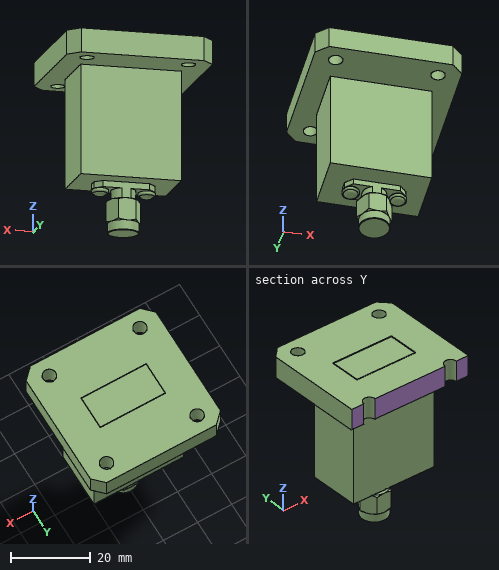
import cadquery as cq
import math


total_height = 47.75

flange_side = 38.1
flange_thickness = 6.35
flange_corner_chamfer = 3.0
flange_hole_diameter = 3.6
flange_hole_spacing_x = 26.5
flange_hole_spacing_y = 28.5

opening_length = 19.05
opening_width = opening_length / 2
opening_depth = 0.25

body_length_x = 26.35
body_width_y = 15.6
body_bottom = -35.0

plate_length = 15.9
plate_width = 5.9
plate_thickness = 1.6
plate_corner_chamfer = 1.88
plate_bottom = body_bottom - plate_thickness

screw_spacing = 12.24
screw_head_diameter = 4.45
screw_head_height = 1.6
screw_rim_height = 1.0
screw_rim_fillet = 0.35
screw_crown_diameter = 1.9
screw_dome_bulge = 0.15

neck_diameter = 6.35
neck_bottom = body_bottom - 4.35

nut_across_flats = 8.0
nut_across_corners = nut_across_flats / math.cos(math.radians(30))
nut_height = 5.8
nut_bevel_angle = 30
nut_bottom = neck_bottom - nut_height
collar_diameter = nut_across_flats
collar_height = total_height + nut_bottom
collar_edge_chamfer = 0.15


def slab(length, width, bottom, height):
    """Rectangular block centred on the Z axis."""
    return cq.Workplane("XY").workplane(offset=bottom).rect(length, width).extrude(height)


def make_flange():
    flange = slab(flange_side, flange_side, -flange_thickness, flange_thickness)
    flange = flange.edges("|Z").chamfer(flange_corner_chamfer)
    flange = (
        flange.faces(">Z").workplane()
        .rect(flange_hole_spacing_x, flange_hole_spacing_y, forConstruction=True)
        .vertices().hole(flange_hole_diameter)
    )
    opening = slab(opening_length, opening_width, -opening_depth, opening_depth)
    return flange.cut(opening)


def make_body():
    return slab(body_length_x, body_width_y, body_bottom, -flange_thickness - body_bottom)


def make_plate():
    plate = slab(plate_length, plate_width, plate_bottom, plate_thickness)
    return plate.edges("|Z").chamfer(plate_corner_chamfer)


def make_screw_head(center_x):
    """Domed head with a rounded rim and a small flat crown, hanging under the plate."""
    rim_radius = screw_head_diameter / 2
    crown_radius = screw_crown_diameter / 2
    dome_radius = rim_radius - screw_rim_fillet
    profile = (
        cq.Workplane("XZ")
        .lineTo(dome_radius, 0)
        .radiusArc((rim_radius, -screw_rim_fillet), screw_rim_fillet)
        .lineTo(rim_radius, screw_rim_fillet - screw_rim_height)
        .radiusArc((dome_radius, -screw_rim_height), screw_rim_fillet)
        .sagittaArc((crown_radius, -screw_head_height), screw_dome_bulge)
        .lineTo(0, -screw_head_height)
        .close()
    )
    head = profile.revolve(360, (0, 0, 0), (0, 1, 0))
    return head.translate((center_x, 0, plate_bottom))


def make_neck():
    height = plate_bottom - neck_bottom
    neck = cq.Workplane("XY").workplane(offset=neck_bottom).circle(neck_diameter / 2).extrude(height)
    return neck.intersect(slab(neck_diameter, plate_width, neck_bottom, height))


def make_nut():
    """Hexagonal nut with two flats facing +/-Y and both ends bevelled by a cone."""
    hexagon = (
        cq.Workplane("XY").workplane(offset=nut_bottom)
        .polygon(6, nut_across_corners)
        .extrude(nut_height)
    )
    end_radius = nut_across_flats / 2
    corner_radius = nut_across_corners / 2
    bevel_height = (corner_radius - end_radius) * math.tan(math.radians(nut_bevel_angle))
    bevelled_envelope = (
        cq.Workplane("XZ")
        .moveTo(0, nut_bottom)
        .lineTo(end_radius, nut_bottom)
        .lineTo(corner_radius, nut_bottom + bevel_height)
        .lineTo(corner_radius, neck_bottom - bevel_height)
        .lineTo(end_radius, neck_bottom)
        .lineTo(0, neck_bottom)
        .close()
        .revolve(360, (0, 0, 0), (0, 1, 0))
    )
    return hexagon.intersect(bevelled_envelope)


def make_collar():
    collar = (
        cq.Workplane("XY").workplane(offset=-total_height)
        .circle(collar_diameter / 2)
        .extrude(collar_height)
    )
    return collar.faces("<Z").edges().chamfer(collar_edge_chamfer)


result = make_flange().union(make_body()).union(make_plate())
for side in (-1, 1):
    result = result.union(make_screw_head(side * screw_spacing / 2))
result = result.union(make_neck()).union(make_nut()).union(make_collar())